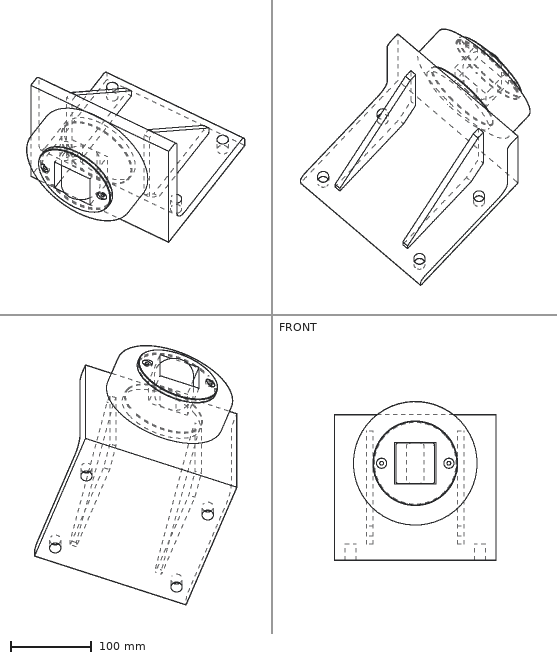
import cadquery as cq

width = 200.0
leg = 180.0
plate = 20.0
edge_round = 9.0
inner_round = 18.0

rib_thickness = 8.0
rib_spacing = 112.5
rib_reach = leg - plate
rib_land = 10.0
rib_corner_cut = 22.5

hole_diameter = 14.0
hole_spacing = 160.0
hole_rows = (50.0, rib_reach)

axis_height = 120.0
hub_radius = 51.5
hub_front = 7.7
wheel_radius = 76.5
wheel_back = 8.7
wheel_shoulder = 49.8
wheel_front = 53.8
wheel_face_radius = 60.3
wheel_back_round = 3.0
wheel_front_round = 2.0
wheel_rim_radius = wheel_radius - wheel_front_round

neck_radius = 50.5

cap_radius = 52.3
cap_back = 54.8
cap_shoulder = 60.3
cap_front = 64.7
cap_face_radius = 35.0
cap_bevel = 0.7

screw_offset = 41.5
recess_diameter = 12.5
recess_floor = 61.3
socket_diameter = 4.7
socket_depth = 2.5

pocket_side = 51.3
roller_diameter = 48.0
roller_length = 50.3
roller_round = 3.0
roller_front = 69.0
roller_axis = roller_front - roller_diameter / 2
roller_seat = 2.5
pocket_floor = roller_front - roller_diameter + roller_seat


def make_bracket():
    profile = (
        cq.Workplane("YZ")
        .polyline([(0, 0), (leg, 0), (leg, plate), (plate, plate), (plate, leg), (0, leg)])
        .close()
    )
    body = profile.extrude(width / 2, both=True)
    inner_edge = cq.selectors.NearestToPointSelector((0, plate, plate))
    outer_edges = (
        cq.selectors.NearestToPointSelector((0, leg, plate))
        + cq.selectors.NearestToPointSelector((0, plate, leg))
    )
    body = body.edges("|X").edges(inner_edge).fillet(inner_round)
    body = body.edges("|X").edges(outer_edges).fillet(edge_round)
    hole_points = [(side * hole_spacing / 2, row) for side in (-1, 1) for row in hole_rows]
    holes = cq.Workplane("XY").pushPoints(hole_points).circle(hole_diameter / 2).extrude(plate)
    return body.cut(holes)


def make_rib(center_x):
    return (
        cq.Workplane("YZ", origin=(center_x, 0, 0))
        .moveTo(plate, plate + rib_corner_cut)
        .lineTo(plate, rib_reach)
        .lineTo(plate + rib_land, rib_reach)
        .lineTo(rib_reach, plate + rib_land)
        .lineTo(rib_reach, plate)
        .lineTo(plate + rib_corner_cut, plate)
        .close()
        .extrude(rib_thickness / 2, both=True)
    )


def front_plane(distance):
    """Workplane on the roller axis, facing forward, the given distance ahead of the bracket."""
    return cq.Workplane("XZ", origin=(0, -distance, axis_height))


def make_main_roller():
    half_section = (
        cq.Workplane("XY")
        .moveTo(0, 0)
        .lineTo(hub_radius, 0)
        .lineTo(hub_radius, -hub_front)
        .lineTo(neck_radius, -hub_front)
        .lineTo(neck_radius, -wheel_back)
        .lineTo(wheel_radius - wheel_back_round, -wheel_back)
        .radiusArc((wheel_radius, -wheel_back - wheel_back_round), wheel_back_round)
        .lineTo(wheel_radius, -wheel_shoulder + wheel_front_round)
        .radiusArc((wheel_rim_radius, -wheel_shoulder), wheel_front_round)
        .lineTo(wheel_face_radius, -wheel_front)
        .lineTo(neck_radius, -wheel_front)
        .lineTo(neck_radius, -cap_back)
        .lineTo(cap_radius, -cap_back)
        .lineTo(cap_radius, -cap_shoulder + cap_bevel)
        .lineTo(cap_radius - cap_bevel, -cap_shoulder)
        .lineTo(cap_face_radius, -cap_front)
        .lineTo(0, -cap_front)
        .close()
    )
    return half_section.revolve(360, (0, 0, 0), (0, 1, 0)).translate((0, 0, axis_height))


def cut_screw_recesses(body):
    centers = [(-screw_offset, 0), (screw_offset, 0)]
    recess_depth = cap_front - recess_floor
    recesses = (
        front_plane(recess_floor)
        .pushPoints(centers)
        .circle(recess_diameter / 2)
        .extrude(recess_depth)
    )
    sockets = (
        front_plane(recess_floor - socket_depth)
        .pushPoints(centers)
        .circle(socket_diameter / 2)
        .extrude(socket_depth)
    )
    return body.cut(recesses).cut(sockets)


def add_side_roller(body):
    pocket = front_plane(pocket_floor).rect(pocket_side, pocket_side).extrude(cap_front - pocket_floor)
    side_roller = (
        cq.Workplane("XY", origin=(0, -roller_axis, axis_height))
        .circle(roller_diameter / 2)
        .extrude(roller_length / 2, both=True)
        .edges()
        .fillet(roller_round)
    )
    return body.cut(pocket).union(side_roller)


main_roller = add_side_roller(cut_screw_recesses(make_main_roller()))

result = make_bracket()
for side in (-1, 1):
    result = result.union(make_rib(side * rib_spacing / 2))
result = result.union(main_roller)